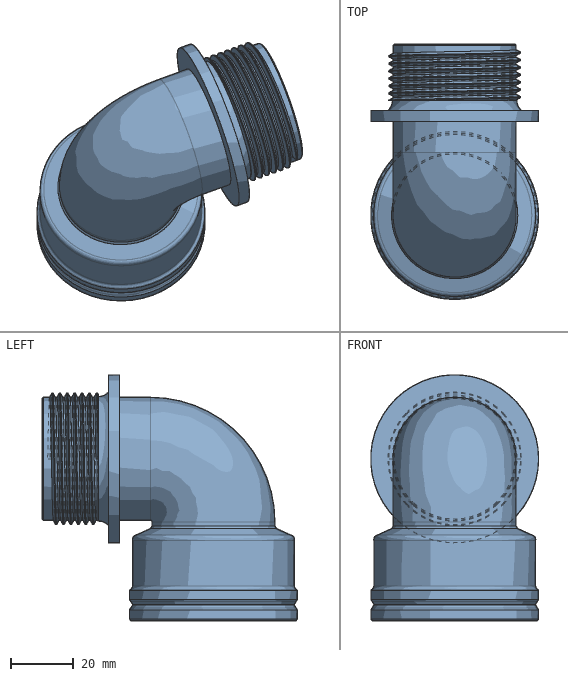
import cadquery as cq

RING_RADIUS = 26.75
OVERALL_LENGTH = 81.3
OVERALL_HEIGHT = 78.3
NIPPLE_END = OVERALL_LENGTH - RING_RADIUS
NIPPLE_AXIS_Z = OVERALL_HEIGHT - RING_RADIUS

TUBE_RADIUS = 19.6
BEND_RADIUS = 20.1
BEND_BASE_Z = NIPPLE_AXIS_Z - BEND_RADIUS

BODY_RADIUS = 25.8
BOTTOM_EDGE = 0.5
GROOVE_MID_Z = 5.1
GROOVE_FLOOR_WIDTH = 0.25
GROOVE_LIP_WIDTH = 2.1
GROOVE_RIM_WIDTH = 3.25
RIM_EDGE_RADIUS = RING_RADIUS - 0.4
RING_EDGE = 0.25
RING_EDGE_Z = 9.7
RING_FILLET_TOP = 11.1
RING_FILLET_RADIUS = 1.5
BODY_TOP = 25.5
SHOULDER_EDGE_RADIUS = 24.55
SHOULDER_EDGE_Z = 27.3
SHOULDER_BULGE = 0.3
NECK_RADIUS = 20.1
NECK_TOP = 30.2
NECK_BOTTOM = 29.35

FLANGE_THICKNESS = 3.6
FLANGE_INNER_Y = 29.85
FLANGE_OUTER_Y = FLANGE_INNER_Y + FLANGE_THICKNESS
NIPPLE_RADIUS = 19.6
END_CHAMFER = 0.4
COLLAR_RADIUS = 19.8
COLLAR_END_Y = 36.6
COLLAR_STEP = 0.5
FLARE_RADIUS = 21.2

THREAD_CREST_RADIUS = 21.0
THREAD_PITCH = 2.35
THREAD_TURNS = 6.5
THREAD_START_Y = 36.5
THREAD_BASE_WIDTH = 2.2
THREAD_CREST_WIDTH = 0.3
THREAD_SINK = 0.3


def make_bend():
    """Quarter turn of the tube, from the socket neck to the nipple axis."""
    bend = cq.Workplane("XY", origin=(0, 0, BEND_BASE_Z)).circle(TUBE_RADIUS)
    return bend.revolve(90, (0, BEND_RADIUS, 0), (-1, BEND_RADIUS, 0))


def make_socket():
    """Turned socket: two rings with a groove between, body, shoulder and neck."""
    edge_mid_radius = (BODY_RADIUS + SHOULDER_EDGE_RADIUS) / 2 + SHOULDER_BULGE
    edge_mid_z = (BODY_TOP + SHOULDER_EDGE_Z) / 2 + SHOULDER_BULGE
    profile = (
        cq.Workplane("XZ")
        .lineTo(RING_RADIUS - BOTTOM_EDGE, 0)
        .lineTo(RING_RADIUS, BOTTOM_EDGE)
        .lineTo(RING_RADIUS, GROOVE_MID_Z - GROOVE_RIM_WIDTH / 2)
        .lineTo(RIM_EDGE_RADIUS, GROOVE_MID_Z - GROOVE_LIP_WIDTH / 2)
        .lineTo(BODY_RADIUS, GROOVE_MID_Z - GROOVE_FLOOR_WIDTH / 2)
        .lineTo(BODY_RADIUS, GROOVE_MID_Z + GROOVE_FLOOR_WIDTH / 2)
        .lineTo(RIM_EDGE_RADIUS, GROOVE_MID_Z + GROOVE_LIP_WIDTH / 2)
        .lineTo(RING_RADIUS, GROOVE_MID_Z + GROOVE_RIM_WIDTH / 2)
        .lineTo(RING_RADIUS, RING_EDGE_Z)
        .lineTo(RING_RADIUS - RING_EDGE, RING_EDGE_Z + RING_EDGE)
        .radiusArc((BODY_RADIUS, RING_FILLET_TOP), RING_FILLET_RADIUS)
        .lineTo(BODY_RADIUS, BODY_TOP)
        .threePointArc((edge_mid_radius, edge_mid_z), (SHOULDER_EDGE_RADIUS, SHOULDER_EDGE_Z))
        .lineTo(NECK_RADIUS, NECK_BOTTOM)
        .lineTo(TUBE_RADIUS, NECK_TOP)
        .lineTo(TUBE_RADIUS, BEND_BASE_Z)
        .lineTo(0, BEND_BASE_Z)
        .close()
    )
    return profile.revolve(360, (0, 0, 0), (0, 1, 0))


def make_nipple():
    """Straight tube, flange and plain nipple, turned about the nipple axis."""
    flare_rise = FLARE_RADIUS - COLLAR_RADIUS
    flare_length = COLLAR_END_Y - FLANGE_OUTER_Y
    flare_arc_radius = (flare_rise**2 + flare_length**2) / (2 * flare_rise)
    profile = (
        cq.Workplane("XY", origin=(0, 0, NIPPLE_AXIS_Z))
        .moveTo(0, BEND_RADIUS)
        .lineTo(TUBE_RADIUS, BEND_RADIUS)
        .lineTo(TUBE_RADIUS, FLANGE_INNER_Y)
        .lineTo(RING_RADIUS, FLANGE_INNER_Y)
        .lineTo(RING_RADIUS, FLANGE_OUTER_Y)
        .lineTo(FLARE_RADIUS, FLANGE_OUTER_Y)
        .radiusArc((COLLAR_RADIUS, COLLAR_END_Y), flare_arc_radius)
        .lineTo(NIPPLE_RADIUS, COLLAR_END_Y + COLLAR_STEP)
        .lineTo(NIPPLE_RADIUS, NIPPLE_END - END_CHAMFER)
        .lineTo(NIPPLE_RADIUS - END_CHAMFER, NIPPLE_END)
        .lineTo(0, NIPPLE_END)
        .close()
    )
    return profile.revolve(360, (0, 0, 0), (0, 1, 0))


def make_thread():
    """Right-hand helical ridge, sunk slightly into the nipple."""
    length = THREAD_PITCH * THREAD_TURNS
    inner_radius = NIPPLE_RADIUS - THREAD_SINK
    helix = cq.Wire.makeHelix(THREAD_PITCH, length, inner_radius)
    ridge = (
        cq.Workplane("XZ")
        .moveTo(inner_radius, -THREAD_BASE_WIDTH / 2)
        .lineTo(THREAD_CREST_RADIUS, -THREAD_CREST_WIDTH / 2)
        .lineTo(THREAD_CREST_RADIUS, THREAD_CREST_WIDTH / 2)
        .lineTo(inner_radius, THREAD_BASE_WIDTH / 2)
        .close()
        .sweep(cq.Workplane(obj=helix), isFrenet=True)
    )
    ridge = ridge.rotate((0, 0, 0), (0, 0, 1), 180).rotate((0, 0, 0), (1, 0, 0), -90)
    ridge = ridge.translate((0, THREAD_START_Y, NIPPLE_AXIS_Z))
    thread_zone = (
        cq.Workplane("XZ", origin=(0, COLLAR_END_Y, NIPPLE_AXIS_Z))
        .circle(RING_RADIUS)
        .extrude(COLLAR_END_Y - NIPPLE_END)
    )
    return ridge.intersect(thread_zone)


result = make_socket().union(make_bend()).union(make_nipple()).union(make_thread())